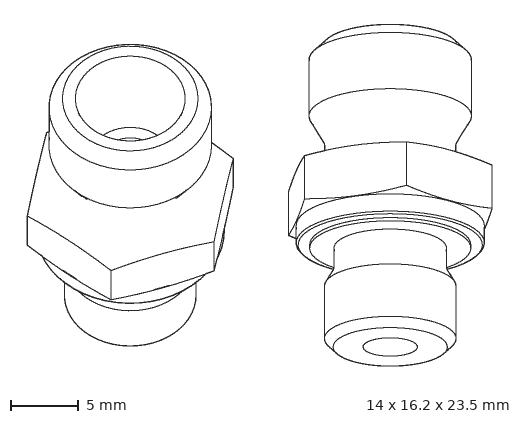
import cadquery as cq
import math

total_height = 23.5
seal_face_z = 8.0
collar_height = 1.5
hex_height = 4.0
lower_neck_height = 2.0
hex_bottom_z = seal_face_z + collar_height
hex_top_z = hex_bottom_z + hex_height
lower_neck_bottom_z = seal_face_z - lower_neck_height
upper_neck_top_z = 16.1

stud_diameter = 9.73
stud_neck_diameter = 8.3
stud_chamfer = 0.65

hex_across_flats = 14.0
hex_half_sector = 30.0
hex_chamfer_diameter = 13.9
hex_chamfer_angle = 15.0
collar_diameter = 13.9
collar_chamfer = 0.15

tube_stud_diameter = 12.0
tube_stud_neck_diameter = 9.7
tube_stud_chamfer = 1.0

runout_angle = 30.0
neck_fillet = 1.0
edge_tolerance = 0.01

through_diameter = 4.0
socket_diameter = 6.0
socket_depth = 7.0
cone_mouth_diameter = 8.1
cone_half_angle = 12.0

ring_outer_diameter = 11.9
ring_inner_diameter = stud_neck_diameter
ring_recess_depth = 1.0
ring_projection = 0.25


def slope_length(large_diameter, small_diameter, half_angle):
    """Axial length of a cone between two diameters."""
    return (large_diameter - small_diameter) / 2 / math.tan(math.radians(half_angle))


def revolve_profile(points):
    """Turn an outline of (radius, height) points around the Z axis."""
    return cq.Workplane("XZ").polyline(points).close().revolve(360, (0, 0, 0), (0, 1, 0))


def cylinder(diameter, bottom_z, top_z):
    return cq.Workplane("XY").workplane(offset=bottom_z).circle(diameter / 2).extrude(top_z - bottom_z)


def fillet_circle(body, diameter, height):
    """Round the circular edge of the given diameter at the given height."""
    reach = diameter / 2 + edge_tolerance
    lower_corner = (-reach, -reach, height - edge_tolerance)
    upper_corner = (reach, reach, height + edge_tolerance)
    band = cq.selectors.BoxSelector(lower_corner, upper_corner, boundingbox=True)
    return body.edges(band).edges("%CIRCLE").fillet(neck_fillet)


def make_turned_outside():
    """Both studs, their necks and the round collar."""
    stud_r = stud_diameter / 2
    stud_neck_r = stud_neck_diameter / 2
    collar_r = collar_diameter / 2
    tube_r = tube_stud_diameter / 2
    tube_neck_r = tube_stud_neck_diameter / 2
    stud_top_z = lower_neck_bottom_z - slope_length(stud_diameter, stud_neck_diameter, runout_angle)
    tube_bottom_z = upper_neck_top_z + slope_length(
        tube_stud_diameter, tube_stud_neck_diameter, runout_angle
    )
    return revolve_profile([
        (0, 0),
        (stud_r - stud_chamfer, 0),
        (stud_r, stud_chamfer),
        (stud_r, stud_top_z),
        (stud_neck_r, lower_neck_bottom_z),
        (stud_neck_r, seal_face_z),
        (collar_r - collar_chamfer, seal_face_z),
        (collar_r, seal_face_z + collar_chamfer),
        (collar_r, hex_top_z),
        (tube_neck_r, hex_top_z),
        (tube_neck_r, upper_neck_top_z),
        (tube_r, tube_bottom_z),
        (tube_r, total_height - tube_stud_chamfer),
        (tube_r - tube_stud_chamfer, total_height),
        (0, total_height),
    ])


def make_hexagon():
    """Hexagon with flats facing +X and -X and its corners chamfered at both ends."""
    across_corners = hex_across_flats / math.cos(math.radians(hex_half_sector))
    prism = (
        cq.Workplane("XY")
        .workplane(offset=hex_bottom_z)
        .polygon(6, across_corners)
        .extrude(hex_height)
        .rotate((0, 0, 0), (0, 0, 1), hex_half_sector)
    )
    flat_r = hex_chamfer_diameter / 2
    corner_r = across_corners / 2
    corner_drop = (corner_r - flat_r) * math.tan(math.radians(hex_chamfer_angle))
    chamfer_envelope = revolve_profile([
        (0, hex_bottom_z),
        (flat_r, hex_bottom_z),
        (corner_r, hex_bottom_z + corner_drop),
        (corner_r, hex_top_z - corner_drop),
        (flat_r, hex_top_z),
        (0, hex_top_z),
    ])
    return prism.intersect(chamfer_envelope)


def make_bore():
    """Through hole, tube socket and the sealing cone that opens at the top."""
    cone_bottom_z = total_height - slope_length(cone_mouth_diameter, socket_diameter, cone_half_angle)
    socket_bottom_z = total_height - socket_depth
    return revolve_profile([
        (0, 0),
        (through_diameter / 2, 0),
        (through_diameter / 2, socket_bottom_z),
        (socket_diameter / 2, socket_bottom_z),
        (socket_diameter / 2, cone_bottom_z),
        (cone_mouth_diameter / 2, total_height),
        (0, total_height),
    ])


def make_sealing_ring():
    bottom_z = seal_face_z - ring_projection
    top_z = seal_face_z + ring_recess_depth
    outside = cylinder(ring_outer_diameter, bottom_z, top_z)
    return outside.cut(cylinder(ring_inner_diameter, bottom_z, top_z))


def make_fitting_body(ring):
    body = make_turned_outside()
    body = fillet_circle(body, stud_neck_diameter, lower_neck_bottom_z)
    body = fillet_circle(body, tube_stud_neck_diameter, hex_top_z)
    body = fillet_circle(body, tube_stud_neck_diameter, upper_neck_top_z)
    return body.union(make_hexagon()).cut(make_bore()).cut(ring)


sealing_ring = make_sealing_ring()
fitting_body = make_fitting_body(sealing_ring)

result = cq.Compound.makeCompound([fitting_body.val(), sealing_ring.val()])